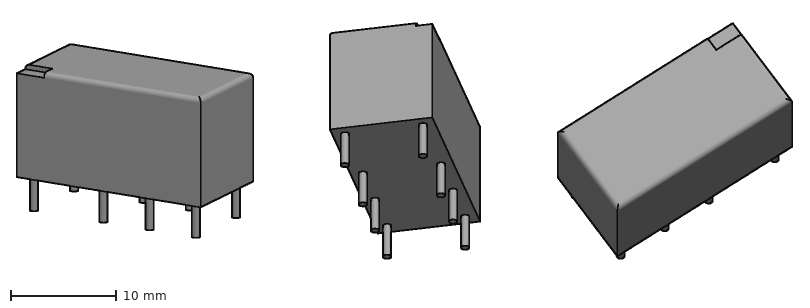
import cadquery as cq

body_length = 20.2
body_width = 10.0
body_height = 10.8
top_fillet = 0.5

notch_length = 3.0
notch_width = 1.6
notch_depth = top_fillet

grid = 2.54
pin_diameter = 0.8
pin_length = 3.4
pin_grid_columns = (0, 3, 5, 7)
row_spacing = 3 * grid
first_pin_x = -pin_grid_columns[-1] * grid / 2


def make_housing():
    """Box with its four top edges rounded."""
    box = cq.Workplane("XY").box(body_length, body_width, body_height, centered=(True, True, False))
    return box.faces(">Z").edges().fillet(top_fillet)


def make_notch():
    """Block that removes the marker step from the top corner."""
    return (
        cq.Workplane("XY", origin=(-body_length / 2, -body_width / 2, body_height - notch_depth))
        .box(notch_length, notch_width, notch_depth, centered=False)
    )


def make_pins():
    """Round pins hanging below the housing."""
    positions = [
        (first_pin_x + column * grid, side * row_spacing / 2)
        for column in pin_grid_columns
        for side in (-1, 1)
    ]
    return cq.Workplane("XY").pushPoints(positions).circle(pin_diameter / 2).extrude(-pin_length)


result = make_housing().cut(make_notch()).union(make_pins())